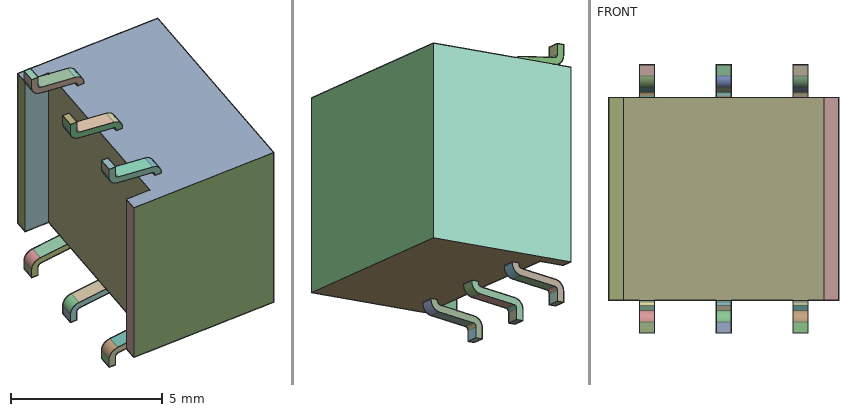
import cadquery as cq
import math

overall_width = 7.62
overall_depth = 5.72
overall_height = 8.89

body_height = 6.72
standoff = 0.35
recess_depth = 0.9
side_wall = 0.49

lead_count = 3
lead_pitch = 2.54
lead_width = 0.51
lead_thickness = 0.25
lead_reach = 2.0
foot_length = 0.375
bend_radius = 0.25
slope = math.radians(7.2)
root_embed = 0.3


def make_body():
    """Block with a recess running over its full height between the side walls."""
    block = cq.Workplane("XY").box(
        overall_width, overall_depth - standoff, body_height, centered=(True, False, True)
    ).translate((0, standoff, 0))
    recess = cq.Workplane("XY").box(
        overall_width - 2 * side_wall, recess_depth, body_height, centered=(True, False, True)
    ).translate((0, standoff, 0))
    return block.cut(recess)


def make_lead():
    """Gull-wing lead at X = 0 on the +Z face: strip swept from foot tip to root."""
    foot_y = lead_thickness / 2
    root_y = lead_reach - lead_thickness / 2
    tip_z = overall_height / 2
    foot_end_z = tip_z - foot_length

    bend_y = bend_radius * (1 - math.sin(slope))
    bend_z = bend_radius * math.cos(slope)
    arm_start = (foot_y + bend_y, foot_end_z - bend_z)
    arm_run = root_y - foot_y - 2 * bend_y
    arm_end = (root_y - bend_y, arm_start[1] - arm_run * math.tan(slope))
    root_start_z = arm_end[1] - bend_z

    centre_line = (
        cq.Workplane("YZ")
        .moveTo(foot_y, tip_z)
        .lineTo(foot_y, foot_end_z)
        .tangentArcPoint(arm_start, relative=False)
        .lineTo(*arm_end)
        .tangentArcPoint((root_y, root_start_z), relative=False)
        .lineTo(root_y, body_height / 2 - root_embed)
    )
    section = (
        cq.Workplane("XY", origin=(0, foot_y, tip_z))
        .rect(lead_width, lead_thickness)
    )
    return section.sweep(centre_line)


result = make_body()
upper_lead = make_lead()
lower_lead = upper_lead.mirror("XY")
for index in range(lead_count):
    lead_x = (index - (lead_count - 1) / 2) * lead_pitch
    for lead in (upper_lead, lower_lead):
        result = result.union(lead.translate((lead_x, 0, 0)))